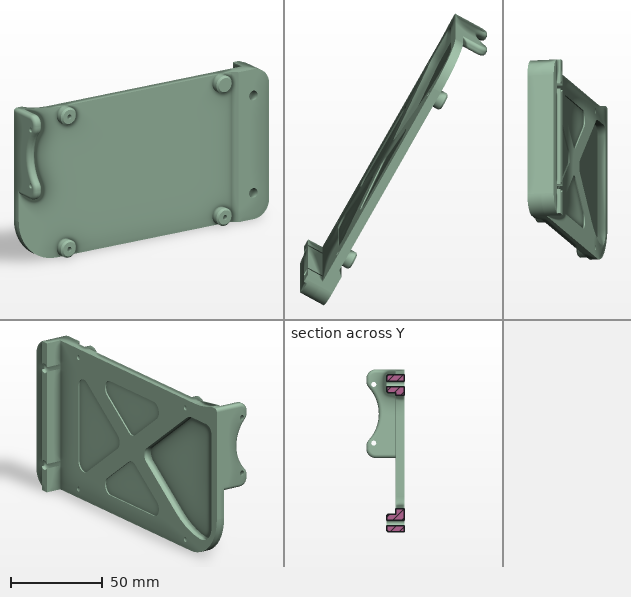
import cadquery as cq
import math

length = 161.8
plate_height = 86.0
plate_thickness = 4.9
end_radius = 10.0
bottom_radius = 25.0

total_height = 88.7
rise_radius = 47.5
rise_web_start_y = 25.9

block_thickness = 7.8
block_length = 20.0

bar_thickness = 7.0
lip_height = 2.0
lip_width = 4.9
lip_offset = 8.0
bolt_diameter = 5.5
bolt_edge_distance = 15.0

standoff_diameter = 10.0
standoff_height = 4.9
standoff_chamfer = 1.0
standoff_hole_diameter = 2.8
standoff_near_y = 30.0
standoff_far_y = 131.7

flange_thickness = 5.0
flange_reach = 20.7
flange_bottom = 40.5
flange_corner_radius = 5.0
flange_edge_radius = 2.0
scoop_radius = 21.4
scoop_bottom_x = 14.0
flange_hole_diameter = 2.8
flange_hole_x = 16.7
flange_hole_spacing = 32.0

shallow_depth = 0.8
skin_thickness = 0.3
brace_half_width = 5.0
pocket_radius = 5.0
pocket_margin = 10.0
deep_pocket_top = 77.2
deep_pocket_margin = 5.0
deep_blend_radius = 10.0
deep_floor_radius = 45.3
deep_pocket_bottom = 9.0

deep_depth = plate_thickness - skin_thickness
standoff_radius = standoff_diameter / 2
standoff_zs = (standoff_radius, plate_height - standoff_radius)
standoff_ys = (standoff_near_y, standoff_far_y)
brace_y = (standoff_near_y + standoff_far_y) / 2
brace_z = plate_height / 2
brace_slope = (standoff_zs[1] - standoff_zs[0]) / (standoff_far_y - standoff_near_y)
brace_angle = math.atan(brace_slope)
apex_offset_y = brace_half_width / math.sin(brace_angle)
apex_offset_z = brace_half_width / math.cos(brace_angle)
bolt_y = length - lip_offset - lip_width / 2
bolt_zs = (bolt_edge_distance, plate_height - bolt_edge_distance)
flange_middle_z = (flange_bottom + total_height) / 2


def cylinder_x(diameter, x, y, z, depth):
    """Cylinder along +X that starts at the given point."""
    return cq.Workplane("YZ", origin=(x, y, z)).circle(diameter / 2).extrude(depth)


def round_end(slab):
    """Round the top and bottom corners at the clamped end."""
    return slab.edges("|X and >Y").fillet(end_radius)


def bolt_holes():
    """Cutters through the clamp bar, its lip and the end block."""
    start_x = -bar_thickness - lip_height
    depth = block_thickness - start_x
    holes = [cylinder_x(bolt_diameter, start_x, bolt_y, z, depth).val() for z in bolt_zs]
    return cq.Workplane(cq.Compound.makeCompound(holes))


def plate_blank():
    """Flat plate with the curved rise at the flanged end."""
    rise = total_height - plate_height
    rise_run = math.sqrt(rise * (2 * rise_radius - rise))
    blank = (
        cq.Workplane("YZ")
        .lineTo(length, 0)
        .lineTo(length, plate_height)
        .lineTo(flange_thickness + rise_run, plate_height)
        .tangentArcPoint((flange_thickness, total_height), relative=False)
        .lineTo(0, total_height)
        .close()
        .extrude(plate_thickness)
    )
    blank = round_end(blank)
    blank = blank.edges("|X and <Y and <Z").fillet(bottom_radius)
    return blank.edges("|X and <Y and >Z").fillet(flange_edge_radius)


def rise_web():
    """Thin straight-topped web along the inner face, bridging the curved rise."""
    return (
        cq.Workplane("YZ", origin=(deep_depth, 0, 0))
        .moveTo(flange_thickness, total_height)
        .lineTo(rise_web_start_y, plate_height)
        .lineTo(flange_thickness, plate_height)
        .close()
        .extrude(skin_thickness)
    )


def end_block():
    """Thick end of the plate, sloping down to the plate at 45 degrees."""
    step = block_thickness - plate_thickness
    slope_top_y = length - block_length
    block = (
        cq.Workplane("XY")
        .moveTo(0, length)
        .lineTo(block_thickness, length)
        .lineTo(block_thickness, slope_top_y)
        .lineTo(plate_thickness, slope_top_y - step)
        .lineTo(0, slope_top_y - step)
        .close()
        .extrude(plate_height)
    )
    return round_end(block)


def flange():
    """Scooped lug that stands off the plate at its front end."""
    scoop_x = scoop_bottom_x + scoop_radius
    scoop_half = math.sqrt(scoop_radius**2 - (scoop_x - flange_reach) ** 2)
    lug = (
        cq.Workplane("XZ")
        .moveTo(0, flange_bottom)
        .lineTo(flange_reach, flange_bottom)
        .lineTo(flange_reach, flange_middle_z - scoop_half)
        .threePointArc((scoop_bottom_x, flange_middle_z), (flange_reach, flange_middle_z + scoop_half))
        .lineTo(flange_reach, total_height)
        .lineTo(0, total_height)
        .close()
        .extrude(-flange_thickness)
    )
    lug = lug.edges("|Y and >X").fillet(flange_corner_radius)
    lug = lug.faces("<Y or >Y").edges("not <X").fillet(flange_edge_radius)
    first_hole_z = flange_middle_z - flange_hole_spacing / 2
    holes = (
        cq.Workplane("XZ")
        .pushPoints([(flange_hole_x, first_hole_z), (flange_hole_x, first_hole_z + flange_hole_spacing)])
        .circle(flange_hole_diameter / 2)
        .extrude(-flange_thickness)
    )
    return lug.cut(holes)


def standoff(y, z):
    """Round boss on the inner plate face with a chamfered rim."""
    boss = cylinder_x(standoff_diameter, plate_thickness, y, z, standoff_height)
    return boss.faces(">X").chamfer(standoff_chamfer)


def pocket_prism(points, depth):
    """Straight-sided cutter sunk into the outer plate face."""
    return cq.Workplane("YZ").polyline(points).close().extrude(depth)


def end_pocket():
    """Shallow triangle between the braces, towards the clamped end."""
    apex_y = brace_y + apex_offset_y
    half_base = (standoff_far_y - apex_y) * brace_slope
    points = [
        (apex_y, brace_z),
        (standoff_far_y, brace_z - half_base),
        (standoff_far_y, brace_z + half_base),
    ]
    return pocket_prism(points, shallow_depth).edges("|X").fillet(pocket_radius)


def side_pocket(direction):
    """Shallow triangle above (direction 1) or below (direction -1) the brace crossing."""
    pocket_height = brace_z - pocket_margin - apex_offset_z
    half_base = pocket_height / brace_slope
    base_z = brace_z + direction * (brace_z - pocket_margin)
    points = [
        (brace_y, brace_z + direction * apex_offset_z),
        (brace_y - half_base, base_z),
        (brace_y + half_base, base_z),
    ]
    return pocket_prism(points, shallow_depth).edges("|X").fillet(pocket_radius)


def deep_pocket():
    """Deep pocket at the flanged end; its lower brace edge curves into a level floor."""
    apex_y = brace_y - apex_offset_y
    top_y = apex_y - (deep_pocket_top - brace_z) / brace_slope
    bottom_y = apex_y - (brace_z - deep_pocket_bottom) / brace_slope
    points = [
        (apex_y, brace_z),
        (top_y, deep_pocket_top),
        (deep_pocket_margin, deep_pocket_top),
        (deep_pocket_margin, deep_pocket_bottom),
        (bottom_y, deep_pocket_bottom),
    ]
    prism = pocket_prism(points, deep_depth)

    def corner(y, z):
        return cq.selectors.NearestToPointSelector((deep_depth / 2, y, z))

    prism = prism.edges(corner(bottom_y, deep_pocket_bottom)).fillet(deep_floor_radius)
    prism = prism.edges(corner(deep_pocket_margin, deep_pocket_bottom)).fillet(deep_blend_radius)
    prism = prism.edges(corner(top_y, deep_pocket_top)).fillet(deep_blend_radius)
    prism = prism.edges(corner(deep_pocket_margin, deep_pocket_top)).fillet(pocket_radius)
    return prism.edges(corner(apex_y, brace_z)).fillet(pocket_radius)


def mounting_plate():
    """Plate, end block, flange and standoffs as one solid."""
    plate = plate_blank().union(rise_web()).union(end_block()).union(flange())
    for pocket in (end_pocket(), side_pocket(1), side_pocket(-1), deep_pocket()):
        plate = plate.cut(pocket)
    blind_standoff = (standoff_ys[1], standoff_zs[1])
    for y in standoff_ys:
        for z in standoff_zs:
            is_blind = (y, z) == blind_standoff
            hole_depth = plate_thickness if is_blind else plate_thickness + standoff_height
            plate = plate.union(standoff(y, z))
            plate = plate.cut(cylinder_x(standoff_hole_diameter, 0, y, z, hole_depth))
    return plate.cut(bolt_holes())


def clamp_bar():
    """Bar on the outer face of the clamped end, with a lip along its inner side."""
    bar_length = lip_offset + lip_width
    full_thickness = bar_thickness + lip_height
    bar = (
        cq.Workplane("XY", origin=(-full_thickness, length - bar_length, 0))
        .box(full_thickness, bar_length, plate_height, centered=False)
    )
    ledge = (
        cq.Workplane("XY", origin=(-full_thickness, length - lip_offset, 0))
        .box(lip_height, lip_offset, plate_height, centered=False)
    )
    return round_end(bar).cut(ledge).cut(bolt_holes())


plate = mounting_plate()
bar = clamp_bar()
result = cq.Compound.makeCompound([plate.val(), bar.val()])